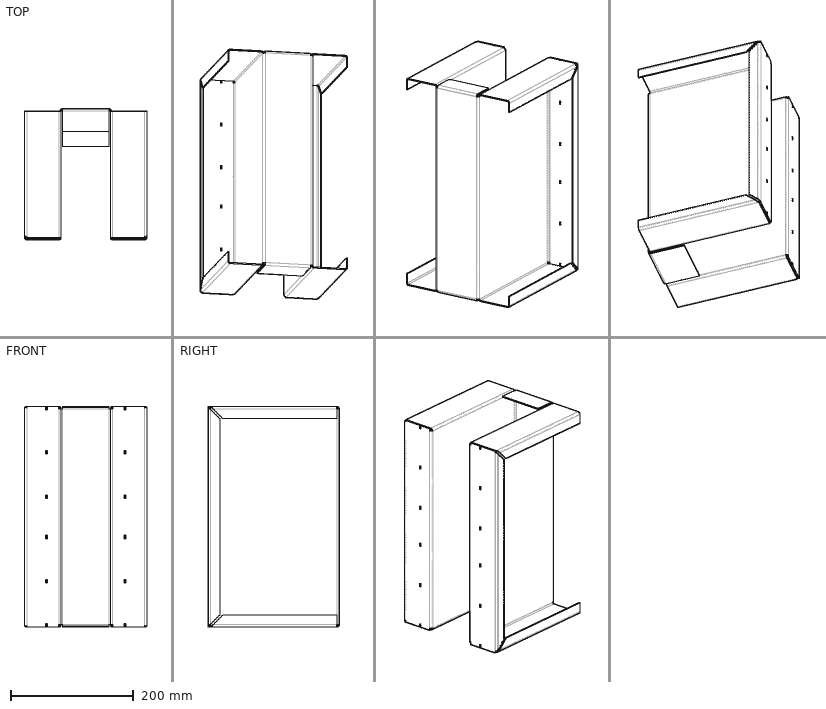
import cadquery as cq

width = 200.0
height = 360.0
depth = 214.0
sheet = 2.0
bend_inner = 2.0
bend_outer = bend_inner + sheet
channel_width = 80.0
lip_depth = 20.0
front_lip_depth = 19.0

flange_start = 3.5
flange_miter = 4.1
front_miter = 1.0

top_tab_depth = 37.0
bottom_tab_depth = 62.0
tab_width = channel_width - 2 * bend_inner

slot_x = 64.0
slot_width = 2.0
slot_length = 5.0
slot_offsets = (33.0, 105.0, 177.0)

panel_x = -channel_width / 2
outer_x = -width / 2
mid_z = height / 2
flange_end = depth - bend_outer


def box(x0, x1, y0, y1, z0, z1):
    """Axis-aligned block between two corners."""
    return cq.Workplane("XY").box(x1 - x0, y1 - y0, z1 - z0, centered=False).translate((x0, y0, z0))


def lipped_flange(plane, lip):
    """Closed section of the panel bend, flange and return lip; the flange outer face is at local y = 0."""
    inside_left = outer_x + sheet
    inside_right = panel_x - sheet
    return (
        cq.Workplane(plane)
        .moveTo(panel_x, bend_outer)
        .radiusArc((panel_x - bend_outer, 0), bend_outer)
        .lineTo(outer_x + bend_outer, 0)
        .radiusArc((outer_x, bend_outer), bend_outer)
        .lineTo(outer_x, lip)
        .lineTo(inside_left, lip)
        .lineTo(inside_left, bend_outer)
        .radiusArc((inside_left + bend_inner, sheet), -bend_inner)
        .lineTo(inside_right - bend_inner, sheet)
        .radiusArc((inside_right, bend_outer), -bend_inner)
        .close()
    )


def miter_block(points):
    """Prism from a YZ outline, as wide as the outer bend zone of the left panel, for trimming lips."""
    return cq.Workplane("YZ").polyline(points).close().extrude(bend_outer).translate((outer_x, 0, 0))


def bottom_flange():
    """Bottom flange and lip of the left panel, its lip mitered at the front."""
    flange = lipped_flange("XZ", lip_depth).extrude(-(flange_end - flange_start)).translate((0, flange_start, 0))
    trim = miter_block([(0, 0), (flange_miter, 0), (flange_miter + lip_depth, lip_depth), (0, lip_depth)])
    return flange.cut(trim)


def front_flange():
    """Front flange and lip of the left panel; only its flat runs the full height."""
    flange = lipped_flange("XY", front_lip_depth).extrude(height)
    for z0 in (0, height - bend_outer):
        flange = flange.cut(box(panel_x - bend_outer, panel_x, 0, bend_outer, z0, z0 + bend_outer))
    low_trim = miter_block([
        (0, 0),
        (front_lip_depth, 0),
        (front_lip_depth, front_miter + front_lip_depth),
        (0, front_miter),
    ])
    flange = flange.cut(low_trim).cut(flip_z(low_trim))
    for offset in slot_offsets:
        for z in (mid_z - offset, mid_z + offset):
            flange = flange.cut(slot(z))
    return flange


def slot(z):
    """Vertical square-ended slot cutter through the front flange."""
    half_width = slot_width / 2
    half_length = slot_length / 2
    return box(-slot_x - half_width, -slot_x + half_width, 0, sheet, z - half_length, z + half_length)


def flip_z(body):
    """Mirror image about mid height."""
    return body.mirror("XY", (0, 0, mid_z))


def side_panel():
    """Left panel with its front, top and bottom lipped flanges."""
    plate = box(panel_x - sheet, panel_x, bend_outer, flange_end, bend_outer, height - bend_outer)
    bottom = bottom_flange()
    return plate.union(bottom).union(flip_z(bottom)).union(front_flange())


def web():
    """Back web joining the panels, with a bend at each side."""
    half = channel_width / 2
    outer = half + sheet
    return (
        cq.Workplane("XY")
        .moveTo(-outer, flange_end)
        .radiusArc((-outer + bend_outer, depth), bend_outer)
        .lineTo(outer - bend_outer, depth)
        .radiusArc((outer, flange_end), bend_outer)
        .lineTo(half, flange_end)
        .radiusArc((half - bend_inner, depth - sheet), -bend_inner)
        .lineTo(-half + bend_inner, depth - sheet)
        .radiusArc((-half, flange_end), -bend_inner)
        .close()
        .extrude(height - 2 * bend_outer)
        .translate((0, 0, bend_outer))
    )


def bottom_tab(tab_depth):
    """Tab bent forward from the lower end of the web."""
    return (
        cq.Workplane("YZ")
        .moveTo(depth, bend_outer)
        .radiusArc((depth - bend_outer, 0), bend_outer)
        .lineTo(depth - tab_depth, 0)
        .lineTo(depth - tab_depth, sheet)
        .lineTo(depth - bend_outer, sheet)
        .radiusArc((depth - sheet, bend_outer), -bend_inner)
        .close()
        .extrude(tab_width / 2, both=True)
    )


left_panel = side_panel()
result = (
    left_panel
    .union(left_panel.mirror("YZ"))
    .union(web())
    .union(bottom_tab(bottom_tab_depth))
    .union(flip_z(bottom_tab(top_tab_depth)))
)